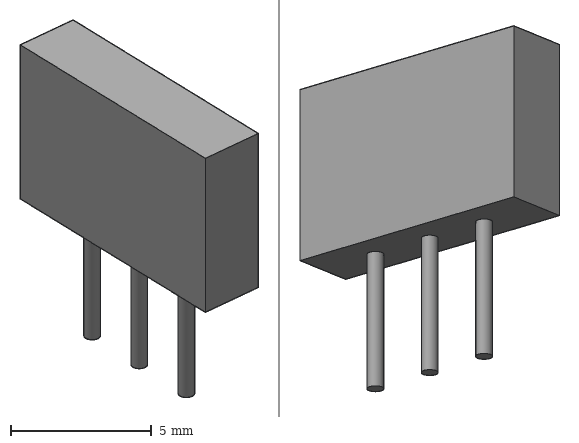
import cadquery as cq

total_height = 11.6
housing_width = 10.0
housing_depth = 2.5
housing_height = 6.5

pin_count = 3
pin_diameter = 0.6
pin_pitch = 2.54
pin_length = total_height - housing_height


def make_housing():
    """Plain rectangular block standing on the XY plane."""
    return cq.Workplane("XY").box(
        housing_width, housing_depth, housing_height, centered=(True, True, False)
    )


def make_pin(x):
    """Straight round pin hanging from the underside of the housing."""
    return cq.Workplane("XY").center(x, 0).circle(pin_diameter / 2).extrude(-pin_length)


housing = make_housing()

first_pin_x = -pin_pitch * (pin_count - 1) / 2
pins = [make_pin(first_pin_x + i * pin_pitch) for i in range(pin_count)]

result = cq.Compound.makeCompound([housing.val(), *[pin.val() for pin in pins]])